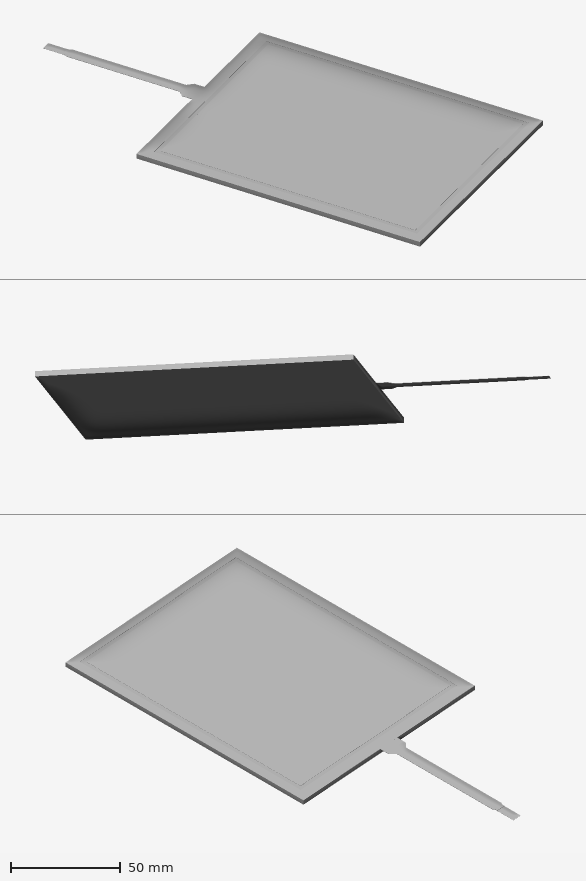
import cadquery as cq

total_length = 227.3
panel_width = 114.3
panel_thickness = 2.5

panel_start = 79.5

groove_margin_left = 6.1
groove_margin_right = 4.5
groove_margin_back = 4.8
groove_margin_front = 5.5
groove_width = 2.0
groove_depth = 0.11

tail_thickness = 0.2
tail_center_y = 0.2
tip_width = 4.8
strip_width = 6.1
root_width = 11.4
tip_end = 11.1
strip_start = 12.5
strip_end = 71.5
root_start = 74.3

contact_length = 10.0
contact_depth = 0.11


def block(x_start, x_end, y_start, y_end, z_start, z_end):
    """Axis-aligned block between two opposite corners."""
    size = (x_end - x_start, y_end - y_start, z_end - z_start)
    return cq.Workplane("XY").box(*size, centered=False).translate((x_start, y_start, z_start))


def make_groove():
    """Rectangular ring to be cut from the panel's top face."""
    x_start = panel_start + groove_margin_left
    x_end = total_length - groove_margin_right
    y_start = -panel_width / 2 + groove_margin_front
    y_end = panel_width / 2 - groove_margin_back
    z_floor = panel_thickness - groove_depth
    outer = block(x_start, x_end, y_start, y_end, z_floor, panel_thickness)
    inner = block(
        x_start + groove_width,
        x_end - groove_width,
        y_start + groove_width,
        y_end - groove_width,
        z_floor,
        panel_thickness,
    )
    return outer.cut(inner)


def make_panel():
    """Flat plate with the groove around its active area."""
    plate = block(panel_start, total_length, -panel_width / 2, panel_width / 2, 0, panel_thickness)
    return plate.cut(make_groove())


def make_tail():
    """Thin strip that widens to its root at the panel and is stepped down at its tip."""
    lower_edge = [
        (0, -tip_width / 2),
        (tip_end, -tip_width / 2),
        (strip_start, -strip_width / 2),
        (strip_end, -strip_width / 2),
        (root_start, -root_width / 2),
        (panel_start, -root_width / 2),
    ]
    upper_edge = [(x, -y) for x, y in reversed(lower_edge)]
    strip = (
        cq.Workplane("XY")
        .workplane(offset=panel_thickness - tail_thickness)
        .polyline(lower_edge + upper_edge)
        .close()
        .extrude(tail_thickness)
    )
    contact_floor = panel_thickness - contact_depth
    contact_step = block(0, contact_length, -tip_width / 2, tip_width / 2, contact_floor, panel_thickness)
    return strip.cut(contact_step).translate((0, tail_center_y, 0))


panel = make_panel()
tail = make_tail()

result = cq.Compound.makeCompound([panel.val(), tail.val()])